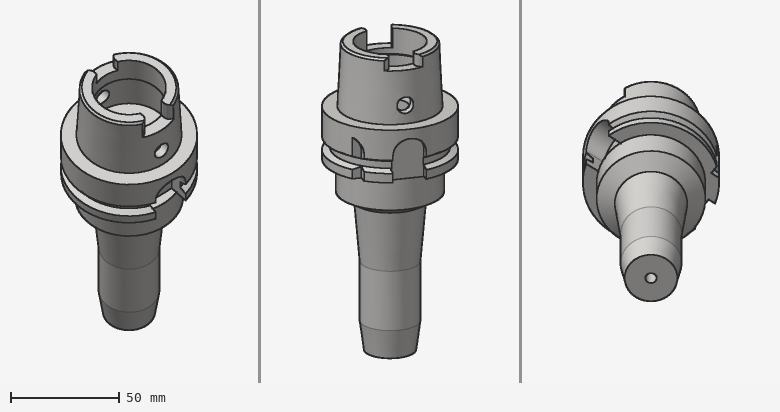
import cadquery as cq
import math

total_height = 152.0
nose_top = 14.6
shaft_top = 44.0
neck_top = 73.5
collar_cone_top = 78.1
flange_bottom = 94.1
flange_top = 120.1

nose_radius = 12.2
shaft_radius = 14.1
neck_top_radius = 16.7
collar_radius = 25.1
flange_radius = 31.5
shank_base_radius = 24.3
shank_top_radius = 22.8
shank_edge_chamfer = 1.0

groove_radius = 27.8
groove_lower_edge = 98.6
groove_floor_bottom = 99.9
groove_floor_top = 103.4
groove_upper_edge = 105.2

mouth_radius = 17.0
mouth_depth = 12.6
undercut_radius = 19.5
undercut_angle = 60.0
undercut_cone_height = (undercut_radius - mouth_radius) / math.tan(math.radians(undercut_angle))
chamber_depth = 31.9
socket_radius = 9.0
socket_depth = 45.6
pilot_radius = 4.1
pilot_depth = 51.7
coolant_radius = 2.6

notch_width = 12.5
notch_corner_radius = 3.0
left_notch_depth = 6.0
right_notch_depth = 9.7

cross_hole_radius = 4.0
cross_hole_height = 129.0

slot_top = 115.4
left_slot_width = 16.1
left_slot_floor = 26.8
right_slot_width = 18.0
right_slot_floor = 20.0
corner_slot_floor = 19.9
corner_slot_wall = 20.0


def make_body():
    """Revolve the outside of the holder about Z."""
    return (
        cq.Workplane("XZ")
        .moveTo(0, 0)
        .lineTo(nose_radius, 0)
        .lineTo(shaft_radius, nose_top)
        .lineTo(shaft_radius, shaft_top)
        .lineTo(neck_top_radius, neck_top)
        .lineTo(collar_radius, collar_cone_top)
        .lineTo(collar_radius, flange_bottom)
        .lineTo(flange_radius, flange_bottom)
        .lineTo(flange_radius, groove_lower_edge)
        .lineTo(groove_radius, groove_floor_bottom)
        .lineTo(groove_radius, groove_floor_top)
        .lineTo(flange_radius, groove_upper_edge)
        .lineTo(flange_radius, flange_top)
        .lineTo(shank_base_radius, flange_top)
        .lineTo(shank_top_radius, total_height)
        .lineTo(0, total_height)
        .close()
        .revolve(360, (0, 0, 0), (0, 1, 0))
        .faces(">Z")
        .chamfer(shank_edge_chamfer)
    )


def make_bore():
    """Revolve the stepped bore, with its undercut, about Z."""
    undercut_start = total_height - mouth_depth
    chamber_floor = total_height - chamber_depth
    socket_floor = total_height - socket_depth
    pilot_floor = total_height - pilot_depth
    return (
        cq.Workplane("XZ")
        .moveTo(0, 0)
        .lineTo(coolant_radius, 0)
        .lineTo(coolant_radius, pilot_floor)
        .lineTo(pilot_radius, pilot_floor)
        .lineTo(pilot_radius, socket_floor)
        .lineTo(socket_radius, socket_floor)
        .lineTo(socket_radius, chamber_floor)
        .lineTo(undercut_radius, chamber_floor)
        .lineTo(undercut_radius, undercut_start - undercut_cone_height)
        .lineTo(mouth_radius, undercut_start)
        .lineTo(mouth_radius, total_height)
        .lineTo(0, total_height)
        .close()
        .revolve(360, (0, 0, 0), (0, 1, 0))
    )


def make_notch(side, depth):
    """Drive notch on the +X (side = 1) or -X (side = -1) wall, flaring out at the shank surface."""
    half_width = notch_width / 2
    flare_half_width = half_width + notch_corner_radius
    flare_end = math.sqrt(shank_top_radius**2 - flare_half_width**2)
    flare_start = flare_end - notch_corner_radius
    arc_offset = notch_corner_radius * math.sqrt(0.5)
    arc_middle_x = flare_start + arc_offset
    arc_middle_y = flare_half_width - arc_offset
    return (
        cq.Workplane("XY", origin=(0, 0, total_height - depth))
        .moveTo(0, -half_width)
        .lineTo(side * flare_start, -half_width)
        .threePointArc((side * arc_middle_x, -arc_middle_y), (side * flare_end, -flare_half_width))
        .lineTo(side * flange_radius, -flare_half_width)
        .lineTo(side * flange_radius, flare_half_width)
        .lineTo(side * flare_end, flare_half_width)
        .threePointArc((side * arc_middle_x, arc_middle_y), (side * flare_start, half_width))
        .lineTo(0, half_width)
        .close()
        .extrude(depth)
    )


def make_slot(side, width, floor, center_y=0.0):
    """Round-topped slot, open at the flange underside, from its floor outward along X."""
    radius = width / 2
    return (
        cq.Workplane("YZ", origin=(side * floor, 0, 0))
        .moveTo(center_y - radius, flange_bottom)
        .lineTo(center_y - radius, slot_top - radius)
        .threePointArc((center_y, slot_top), (center_y + radius, slot_top - radius))
        .lineTo(center_y + radius, flange_bottom)
        .close()
        .extrude(side * flange_radius)
    )


left_slot = make_slot(-1, left_slot_width, left_slot_floor)
right_slot = make_slot(1, right_slot_width, right_slot_floor)
corner_slot = make_slot(-1, left_slot_width, corner_slot_floor, corner_slot_wall + left_slot_width / 2)

cross_hole = (
    cq.Workplane("YZ", origin=(-flange_radius, 0, cross_hole_height))
    .circle(cross_hole_radius)
    .extrude(2 * flange_radius)
)

result = (
    make_body()
    .cut(make_bore())
    .cut(make_notch(-1, left_notch_depth))
    .cut(make_notch(1, right_notch_depth))
    .cut(cross_hole)
    .cut(left_slot)
    .cut(right_slot)
    .cut(corner_slot)
)